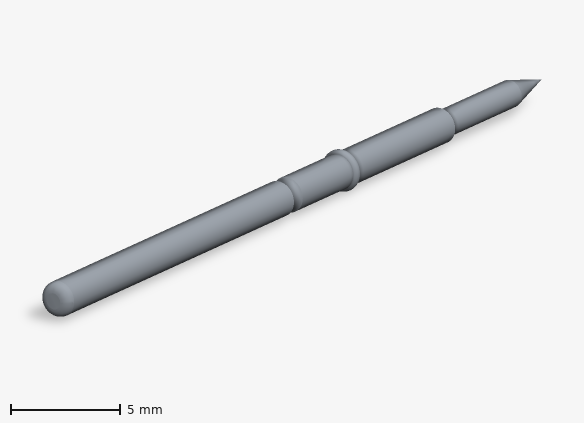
import cadquery as cq
import math

total_length = 38.4
rear_y = -total_length / 2
tip_y = total_length / 2

tip_length = 2.5
plunger_radius = 0.65
plunger_length = 8.0
plunger_base_y = tip_y - plunger_length

barrel_radius = 0.85
rear_rounding = 0.45
rear_flat_radius = barrel_radius - rear_rounding

ring_radius = 1.0
ring_width = 0.5
ring_front_y = 3.7
ring_center_y = ring_front_y - ring_width / 2

groove_width = 0.7
groove_depth = 0.173
groove_center_y = -1.1


def revolve_about_y(profile):
    return profile.close().revolve(360, (0, 0, 0), (0, 1, 0))


def make_barrel():
    diagonal = rear_rounding * math.sin(math.radians(45))
    profile = (
        cq.Workplane("XY")
        .moveTo(0, rear_y)
        .lineTo(rear_flat_radius, rear_y)
        .threePointArc(
            (rear_flat_radius + diagonal, rear_y + rear_rounding - diagonal),
            (barrel_radius, rear_y + rear_rounding),
        )
        .lineTo(barrel_radius, groove_center_y - groove_width / 2)
        .threePointArc(
            (barrel_radius - groove_depth, groove_center_y),
            (barrel_radius, groove_center_y + groove_width / 2),
        )
        .lineTo(barrel_radius, plunger_base_y)
        .lineTo(0, plunger_base_y)
    )
    return revolve_about_y(profile)


def make_plunger():
    profile = (
        cq.Workplane("XY")
        .moveTo(0, plunger_base_y)
        .lineTo(plunger_radius, plunger_base_y)
        .lineTo(plunger_radius, tip_y - tip_length)
        .lineTo(0, tip_y)
    )
    return revolve_about_y(profile)


def make_press_ring():
    half_width = ring_width / 2
    profile = (
        cq.Workplane("XY")
        .moveTo(0, ring_center_y - half_width)
        .lineTo(barrel_radius, ring_center_y - half_width)
        .threePointArc((ring_radius, ring_center_y), (barrel_radius, ring_center_y + half_width))
        .lineTo(0, ring_center_y + half_width)
    )
    return revolve_about_y(profile)


result = make_barrel().union(make_plunger()).union(make_press_ring())